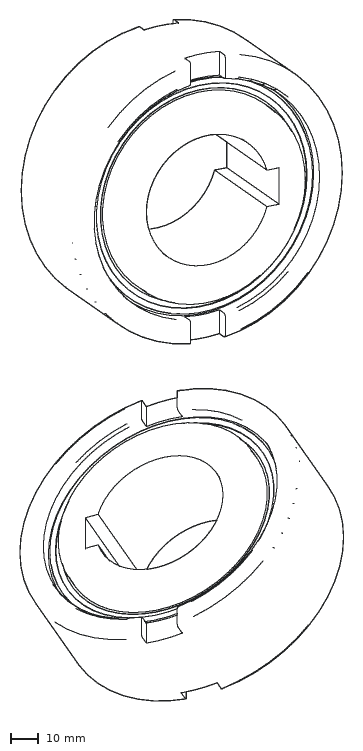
import cadquery as cq
import math

width = 40.0
outer_radius = 55.0
edge_radius = 1.0

bore_radius = 25.0
keyway_width = 14.1
keyway_reach = 28.9

hub_radius = 39.9
rim_inner_radius = 45.9
recess_depth = 5.5

seal_inner_radius = 40.8
seal_outer_radius = 45.0
seal_middle_radius = 42.8
outer_seal_height = 0.8
inner_seal_height = 0.2

slot_width = keyway_width
slot_depth = 4.5


def tube(outer, inner, start, length):
    """Tube along X between two radii, starting at the given X."""
    return (
        cq.Workplane("YZ", origin=(start, 0, 0))
        .circle(outer)
        .circle(inner)
        .extrude(length)
    )


def end_recess():
    """Stepped recess of the -X end with a rounded mouth, as a solid to remove."""
    face = -width / 2
    floor = face + recess_depth
    outer_seal = floor - outer_seal_height
    inner_seal = floor - inner_seal_height
    arc_inset = edge_radius * (1 - math.cos(math.radians(45)))
    profile = (
        cq.Workplane("XY")
        .moveTo(face, hub_radius - edge_radius)
        .threePointArc((face + arc_inset, hub_radius - arc_inset), (face + edge_radius, hub_radius))
        .lineTo(floor, hub_radius)
        .lineTo(floor, seal_inner_radius)
        .lineTo(inner_seal, seal_inner_radius)
        .lineTo(inner_seal, seal_middle_radius)
        .lineTo(outer_seal, seal_middle_radius)
        .lineTo(outer_seal, seal_outer_radius)
        .lineTo(floor, seal_outer_radius)
        .lineTo(floor, rim_inner_radius)
        .lineTo(face + edge_radius, rim_inner_radius)
        .threePointArc((face + arc_inset, rim_inner_radius + arc_inset), (face, rim_inner_radius + edge_radius))
        .close()
    )
    return profile.revolve(360, (0, 0, 0), (1, 0, 0))


def rim_slots():
    """Two opposite slots through the rim at the -X end."""
    face = -width / 2
    across = cq.Workplane("XY").box(2 * slot_depth, slot_width, 2 * outer_radius).translate((face, 0, 0))
    rim = tube(outer_radius, rim_inner_radius, face, slot_depth)
    return across.intersect(rim)


body = tube(outer_radius, bore_radius, -width / 2, width)
body = body.edges(cq.selectors.RadiusNthSelector(-1)).fillet(edge_radius)

keyway = cq.Workplane("XY").box(width, keyway_reach, keyway_width).translate((0, keyway_reach / 2, 0))
body = body.cut(keyway)

for end_cut in (end_recess(), rim_slots()):
    body = body.cut(end_cut).cut(end_cut.mirror("YZ"))

result = body